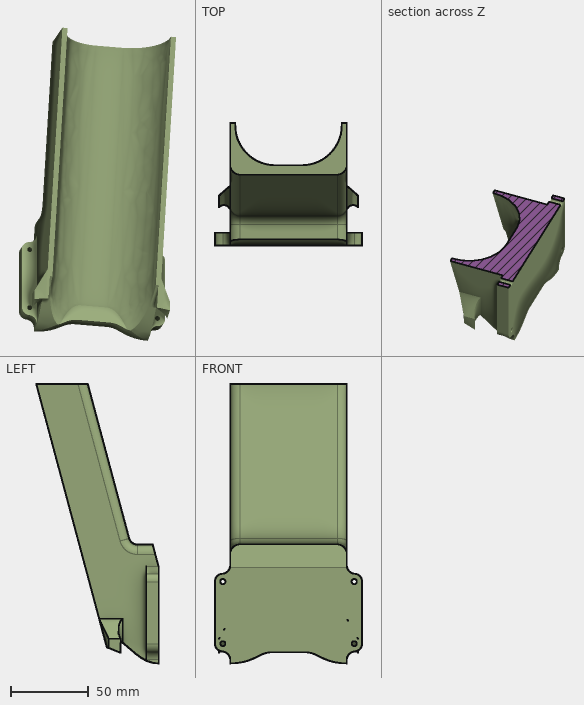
import cadquery as cq
import math

HEIGHT = 180.4
DEPTH = 79.2
LEAN = math.tan(math.radians(15))
BODY_HALF = 37.7
FRONT_TOP_Y = 45.8
SHELF_Z = 76.9
BEVEL_BASE_Z = 62.0
EDGE_ROUND = 6.3
SHELF_FILLET = 5.5

CHANNEL_HALF = 34.3
CHANNEL_FLOOR_HALF = 9.2
CHANNEL_FLOOR_Y = 52.0
CHANNEL_ROUND_DEPTH = 26.0

PLATE_HALF = 47.54
PLATE_THICKNESS = 8.3
HOLE_X = 42.4
HOLE_MID_Z = 32.8
HOLE_HALF_Z = 20.0
HOLE_RADIUS = 1.6
LUG_RADIUS = PLATE_HALF - HOLE_X
COVE_WIDTH = HOLE_X - BODY_HALF
COVE_HEIGHT = 6.0

ARCH_HEIGHT = 7.2
ARCH_FLAT_HALF = 10.5
ARCH_MID_X = 21.6
FOOT_CURVE = [(0, 0), (9.2, 2.3), (24.4, 14.3)]
FOOT_REAR = (39.7, 26.3)

CLIP_HALF = 45.0
CLIP_TOP_Z = 28.9
CLIP_ROOT_Z = 14.5
CLIP_HEEL_Z = 10.5
CLIP_FRONT_Y = 23.5
CLIP_OUTER_FACE = [(CLIP_FRONT_Y, 15.9), (32.3, 15.9), (32.3, 10.0), (CLIP_FRONT_Y, 6.3)]
CLIP_HOLLOW_MID = (40.2, 25.8)
CLIP_TIP_Y = 24.7

CLEARANCE = 18.0
DIAGONAL = math.sqrt(0.5)


def leaning_y(top_y, z):
    """y at height z on a sloping line that starts at top_y on the top face."""
    return top_y - (HEIGHT - z) * LEAN


def make_body():
    corner_y = leaning_y(FRONT_TOP_Y, SHELF_Z)
    body = (
        cq.Workplane("YZ")
        .polyline([
            (0, 0), (0, SHELF_Z), (corner_y, SHELF_Z),
            (FRONT_TOP_Y, HEIGHT), (DEPTH, HEIGHT), (leaning_y(DEPTH, 0), 0),
        ])
        .close()
        .extrude(BODY_HALF, both=True)
    )
    inner_corner = cq.selectors.NearestToPointSelector((0, corner_y, SHELF_Z))
    body = body.edges(inner_corner).fillet(SHELF_FILLET)
    slope_mid_z = (HEIGHT + SHELF_Z) / 2
    slope_mid_y = leaning_y(FRONT_TOP_Y, slope_mid_z)
    for side in (-1, 1):
        slope_edge = cq.selectors.NearestToPointSelector((side * BODY_HALF, slope_mid_y, slope_mid_z))
        body = body.edges(slope_edge).fillet(EDGE_ROUND)
    return body


def make_plate():
    def corner(x_side, z_side):
        """Outline points of one corner, from the plate edge to the body side."""
        def place(x, z):
            return x_side * x, HOLE_MID_Z + z_side * (HOLE_HALF_Z + z)

        return [
            place(PLATE_HALF, 0),
            place(HOLE_X + LUG_RADIUS * DIAGONAL, LUG_RADIUS * DIAGONAL),
            place(HOLE_X, LUG_RADIUS),
            place(HOLE_X - COVE_WIDTH * DIAGONAL, LUG_RADIUS + COVE_HEIGHT * (1 - DIAGONAL)),
            place(BODY_HALF, LUG_RADIUS + COVE_HEIGHT),
        ]

    outline = cq.Workplane("XZ").moveTo(0, corner(1, -1)[-1][1])
    for x_side, z_side, outward in ((1, -1, True), (1, 1, False), (-1, 1, True), (-1, -1, False)):
        points = corner(x_side, z_side)
        if outward:
            points.reverse()
        outline = outline.lineTo(*points[0])
        outline = outline.threePointArc(points[1], points[2])
        outline = outline.threePointArc(points[3], points[4])
    return outline.close().extrude(-PLATE_THICKNESS)


def make_bevel():
    """Cutter for the sloping face between the mounting face and the shelf."""
    bevel_y = (SHELF_Z - BEVEL_BASE_Z) * LEAN
    return (
        cq.Workplane("YZ")
        .polyline([(0, BEVEL_BASE_Z), (bevel_y, SHELF_Z), (0, SHELF_Z)])
        .close()
        .extrude(BODY_HALF, both=True)
    )


def make_channel():
    """Round-bottomed trough cutter following the lean of the body."""
    bottom_z = -2 * CLEARANCE

    def section(z):
        floor_y = leaning_y(CHANNEL_FLOOR_Y, z)
        wall_y = floor_y + CHANNEL_ROUND_DEPTH
        rear_y = wall_y + 2 * CLEARANCE
        mid_x = CHANNEL_FLOOR_HALF + (CHANNEL_HALF - CHANNEL_FLOOR_HALF) * DIAGONAL
        mid_y = wall_y - CHANNEL_ROUND_DEPTH * DIAGONAL
        return (
            cq.Workplane("XY", origin=(0, 0, z))
            .moveTo(-CHANNEL_FLOOR_HALF, floor_y)
            .lineTo(CHANNEL_FLOOR_HALF, floor_y)
            .threePointArc((mid_x, mid_y), (CHANNEL_HALF, wall_y))
            .lineTo(CHANNEL_HALF, rear_y)
            .lineTo(-CHANNEL_HALF, rear_y)
            .lineTo(-CHANNEL_HALF, wall_y)
            .threePointArc((-mid_x, mid_y), (-CHANNEL_FLOOR_HALF, floor_y))
            .close()
            .val()
        )

    ends = [section(bottom_z), section(HEIGHT + CLEARANCE)]
    return cq.Workplane(cq.Solid.makeLoft(ends, True))


def make_arch():
    """Cutter that shapes the lower edge across the width."""
    right_curve = [(ARCH_FLAT_HALF, ARCH_HEIGHT), (ARCH_MID_X, ARCH_HEIGHT / 2), (BODY_HALF, 0)]
    left_curve = [(-x, z) for x, z in reversed(right_curve)]
    return (
        cq.Workplane("XZ")
        .moveTo(*left_curve[0])
        .spline(left_curve[1:], tangents=[(1, 0), (1, 0)], includeCurrent=True)
        .lineTo(*right_curve[0])
        .spline(right_curve[1:], tangents=[(1, 0), (1, 0)], includeCurrent=True)
        .lineTo(BODY_HALF, -CLEARANCE)
        .lineTo(-BODY_HALF, -CLEARANCE)
        .close()
        .extrude(-DEPTH)
    )


def make_foot():
    """Cutter that sweeps the lower edge upwards towards the rear."""
    rear_slope = (FOOT_REAR[0] - FOOT_CURVE[-1][0], FOOT_REAR[1] - FOOT_CURVE[-1][1])
    return (
        cq.Workplane("YZ")
        .moveTo(*FOOT_CURVE[0])
        .spline(FOOT_CURVE[1:], tangents=[(1, 0), rear_slope], includeCurrent=True)
        .lineTo(*FOOT_REAR)
        .lineTo(FOOT_REAR[0], -CLEARANCE)
        .lineTo(0, -CLEARANCE)
        .close()
        .extrude(PLATE_HALF, both=True)
    )


def make_clip():
    """Clip on the +X side: a tapering wedge with a hollow front."""
    root_x = (BODY_HALF + CHANNEL_HALF) / 2
    root_face = [
        (CLIP_FRONT_Y, CLIP_TOP_Z), (leaning_y(DEPTH, CLIP_TOP_Z), CLIP_TOP_Z),
        (leaning_y(DEPTH, CLIP_HEEL_Z), CLIP_HEEL_Z), (CLIP_FRONT_Y, CLIP_ROOT_Z),
    ]

    def face_wire(x, points):
        return cq.Wire.makePolygon([cq.Vector(x, y, z) for y, z in points], close=True)

    flare = cq.Solid.makeLoft([face_wire(BODY_HALF, root_face), face_wire(CLIP_HALF, CLIP_OUTER_FACE)], True)
    root = cq.Workplane("YZ", origin=(root_x, 0, 0)).polyline(root_face).close().extrude(BODY_HALF - root_x)
    hollow = (
        cq.Workplane("XY")
        .moveTo(BODY_HALF, CLIP_FRONT_Y)
        .threePointArc(CLIP_HOLLOW_MID, (CLIP_HALF, CLIP_TIP_Y))
        .lineTo(CLIP_HALF, 0)
        .lineTo(BODY_HALF, 0)
        .close()
        .extrude(CLIP_TOP_Z)
    )
    return root.union(cq.Workplane(flare)).cut(hollow)


def make_holes():
    centers = [(x, HOLE_MID_Z + z) for x in (-HOLE_X, HOLE_X) for z in (-HOLE_HALF_Z, HOLE_HALF_Z)]
    return cq.Workplane("XZ").pushPoints(centers).circle(HOLE_RADIUS).extrude(-PLATE_THICKNESS)


clip = make_clip()
result = make_body().cut(make_channel()).union(make_plate()).cut(make_bevel())
result = result.cut(make_foot()).cut(make_arch()).cut(make_holes())
result = result.union(clip).union(clip.mirror("YZ"))